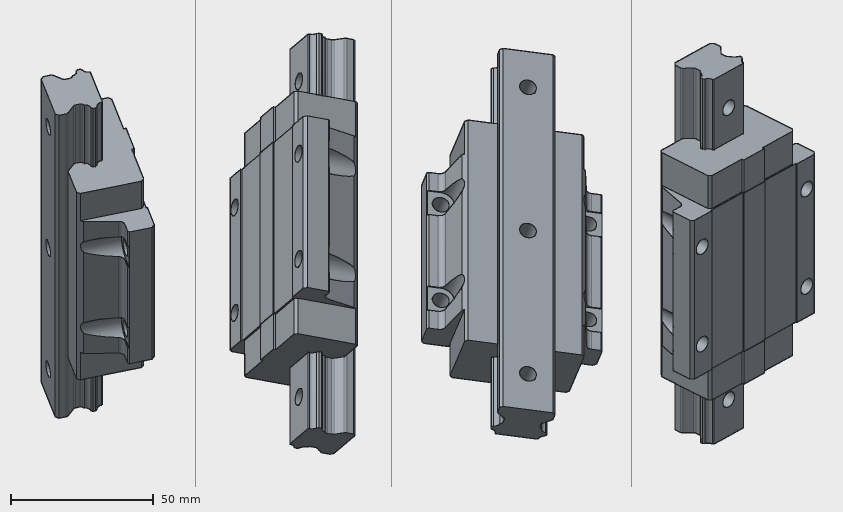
import cadquery as cq
import math


rail_length = 150.0
carriage_width = 63.0
carriage_top = 30.0

rail_half_width = 20.0 / 2
rail_height = 17.5
rail_foot_chamfer = 1.0
neck_half_width = 6.6
foot_corner_y = 4.2
head_bottom_y = 13.5
head_top_y = 14.4
rail_top_half_width = 7.5
rail_blend_radius = 1.2

groove_start = 0.9
groove_width = 2.5
groove_depth = 0.5

rail_hole_diameter = 6.0
rail_hole_pitch = 60.0
rail_hole_count = 3

block_length = 65.2
carriage_bottom = 4.5
bottom_half_width = 20.5
flank_foot_half_width = 22.2
flank_foot_y = 6.6
flank_head_half_width = 25.8
flange_thickness = 9.9
flange_blend_radius = 2.2
flange_top_chamfer = 1.2
flange_bottom_chamfer = 0.6
relief_depth = 0.5
rib_half_width = 5.2

carriage_length = 92.2
cap_half_width = 21.5
cap_top = 29.0
cap_top_chamfer = 1.0
cap_rib_top = 29.8

bolt_spacing_x = 53.0
bolt_spacing_z = 40.0
bolt_hole_diameter = 6.0
spot_face_diameter = 10.0
spot_face_depth = 0.5

flange_bottom = carriage_top - flange_thickness
carriage_half_width = carriage_width / 2


def symmetric_bar(half_outline, length):
    """Solid along Z, centred on Z = 0, with a polygonal section mirrored about X = 0.

    The half outline lists the corners on the +X side, from bottom to top.
    """
    left_half = [(-x, y) for x, y in reversed(half_outline)]
    return (
        cq.Workplane("XY")
        .polyline(half_outline + left_half)
        .close()
        .extrude(length / 2, both=True)
    )


def edge_at(x, y):
    """Selector for the straight edge along Z through the point (x, y)."""
    tolerance = 0.08
    return cq.selectors.BoxSelector(
        (x - tolerance, y - tolerance, -tolerance),
        (x + tolerance, y + tolerance, tolerance),
    )


def hole_along_y(diameter, x, z, y_low, y_high):
    """Cylinder parallel to Y between two heights."""
    return cq.Workplane(
        cq.Solid.makeCylinder(diameter / 2, y_high - y_low, cq.Vector(x, y_low, z), cq.Vector(0, 1, 0))
    )


def ball_groove(side, slope_y, slope_run, slope_rise):
    """Cylinder that cuts a ball groove along one slope of the rail head.

    The slope leaves the side of the head at slope_y, going slope_run inward and slope_rise upward.
    A negative slope_rise goes downward.
    """
    radius = (groove_width ** 2 / 4 + groove_depth ** 2) / (2 * groove_depth)
    slope_length = math.hypot(slope_run, slope_rise)
    along = groove_start + groove_width / 2
    lift = radius - groove_depth
    inward = (along * slope_run - lift * abs(slope_rise)) / slope_length
    upward = along * slope_rise + math.copysign(lift * slope_run, slope_rise)
    return (
        cq.Workplane("XY")
        .center(side * (rail_half_width - inward), slope_y + upward / slope_length)
        .circle(radius)
        .extrude(rail_length / 2, both=True)
    )


def rail_blank():
    """Rail section without its mounting holes."""
    neck_step = rail_half_width - neck_half_width
    neck_bottom_y = foot_corner_y + neck_step
    neck_top_y = head_bottom_y - neck_step
    top_slope_run = rail_half_width - rail_top_half_width
    top_slope_rise = rail_height - head_top_y
    blank = symmetric_bar(
        [
            (rail_half_width - rail_foot_chamfer, 0),
            (rail_half_width, rail_foot_chamfer),
            (rail_half_width, foot_corner_y),
            (neck_half_width, neck_bottom_y),
            (neck_half_width, neck_top_y),
            (rail_half_width, head_bottom_y),
            (rail_half_width, head_top_y),
            (rail_top_half_width, rail_height),
        ],
        rail_length,
    )
    for side in (-1, 1):
        blank = blank.edges(edge_at(side * rail_half_width, foot_corner_y)).fillet(rail_blend_radius)
        for neck_y in (neck_bottom_y, neck_top_y):
            blank = blank.edges(edge_at(side * neck_half_width, neck_y)).fillet(rail_blend_radius)
        blank = blank.cut(ball_groove(side, head_top_y, top_slope_run, top_slope_rise))
        blank = blank.cut(ball_groove(side, head_bottom_y, neck_step, -neck_step))
    return blank


def make_rail():
    """Rail with a row of through holes."""
    rail = rail_blank()
    for index in range(rail_hole_count):
        z = (index - (rail_hole_count - 1) / 2) * rail_hole_pitch
        rail = rail.cut(hole_along_y(rail_hole_diameter, 0, z, 0, rail_height))
    return rail


def carriage_block():
    """Flanged middle part of the carriage, with reliefs beside the top rib."""
    relief_floor = carriage_top - relief_depth
    block = symmetric_bar(
        [
            (bottom_half_width, carriage_bottom),
            (flank_foot_half_width, flank_foot_y),
            (flank_head_half_width, flange_bottom),
            (carriage_half_width - flange_bottom_chamfer, flange_bottom),
            (carriage_half_width, flange_bottom + flange_bottom_chamfer),
            (carriage_half_width, carriage_top - flange_top_chamfer),
            (carriage_half_width - flange_top_chamfer, carriage_top),
            (cap_half_width, carriage_top),
            (cap_half_width, relief_floor),
            (rib_half_width, relief_floor),
            (rib_half_width, carriage_top),
        ],
        block_length,
    )
    for side in (-1, 1):
        block = block.edges(edge_at(side * flank_head_half_width, flange_bottom)).fillet(flange_blend_radius)
    return block


def end_caps():
    """Bar spanning the whole carriage length; its ends stand out of the block as the end caps."""
    bevel_slope = (flank_foot_y - carriage_bottom) / (flank_foot_half_width - bottom_half_width)
    bevel_top = carriage_bottom + (cap_half_width - bottom_half_width) * bevel_slope
    return symmetric_bar(
        [
            (bottom_half_width, carriage_bottom),
            (cap_half_width, bevel_top),
            (cap_half_width, cap_top - cap_top_chamfer),
            (cap_half_width - cap_top_chamfer, cap_top),
            (rib_half_width, cap_top),
            (rib_half_width, cap_rib_top),
        ],
        carriage_length,
    )


def spot_face(side, x, z):
    """Flat recess around a bolt hole: a round scallop into the flank, open towards the flange edge."""
    floor_y = flange_bottom + spot_face_depth
    scallop = hole_along_y(spot_face_diameter, x, z, carriage_bottom, floor_y)
    open_width = carriage_half_width - abs(x)
    open_side = (
        cq.Workplane("XY")
        .box(open_width, floor_y - carriage_bottom, spot_face_diameter)
        .translate((x + side * open_width / 2, (carriage_bottom + floor_y) / 2, z))
    )
    return scallop.union(open_side)


def make_carriage():
    """Carriage with flange bolt holes and a channel that fits the rail."""
    carriage = carriage_block().union(end_caps())
    for side in (-1, 1):
        x = side * bolt_spacing_x / 2
        for z in (-bolt_spacing_z / 2, bolt_spacing_z / 2):
            carriage = carriage.cut(spot_face(side, x, z))
            carriage = carriage.cut(hole_along_y(bolt_hole_diameter, x, z, flange_bottom, carriage_top))
    return carriage.cut(rail_blank())


rail = make_rail()
carriage = make_carriage()

result = cq.Compound.makeCompound([rail.solids().val(), carriage.solids().val()])